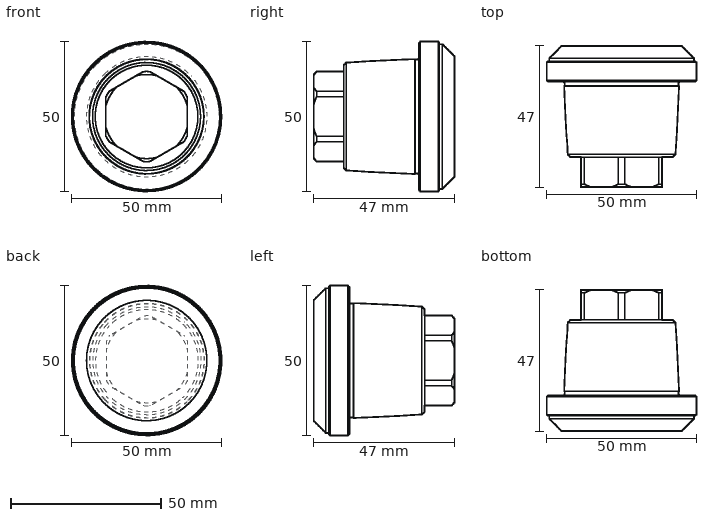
import cadquery as cq
import math

cone_end = 4.1
flange_back = 5.1
flange_front = 12.0
neck_start = 12.5
neck_end = 13.2
lead_end = 13.35
body_start = 14.0
taper_break = 29.15
body_end = 37.0
hex_length = 10.0

back_radius = 20.05
rim_radius = 24.15
flange_radius = 25.0
recess_radius = 20.35
neck_radius = 19.0
body_radius = 19.15
break_radius = 18.45
nose_radius = 18.0

flange_back_chamfer = 0.4
flange_front_chamfer = 0.6
nose_chamfer = 0.9
neck_fillet = 0.65

hex_across_flats = 27.0
hex_corner_radius = 15.0
hex_tip_chamfer = 1.0


def turned_body():
    """Revolve the cap, flange, undercut neck and tapered shank; profile is (radius, -station)."""
    fillet_radius_end = neck_radius + neck_fillet
    fillet_floor = neck_start - neck_fillet
    arc_offset = neck_fillet * math.sqrt(0.5)
    fillet_middle = (fillet_radius_end - arc_offset, -(neck_start - arc_offset))
    profile = (
        cq.Workplane("XY")
        .lineTo(back_radius, 0)
        .lineTo(rim_radius, -cone_end)
        .lineTo(rim_radius, -flange_back)
        .lineTo(flange_radius - flange_back_chamfer, -flange_back)
        .lineTo(flange_radius, -(flange_back + flange_back_chamfer))
        .lineTo(flange_radius, -(flange_front - flange_front_chamfer))
        .lineTo(flange_radius - flange_front_chamfer, -flange_front)
        .lineTo(recess_radius, -flange_front)
        .lineTo(fillet_radius_end, -fillet_floor)
        .threePointArc(fillet_middle, (neck_radius, -neck_start))
        .lineTo(neck_radius, -neck_end)
        .lineTo(body_radius, -lead_end)
        .lineTo(body_radius, -body_start)
        .lineTo(break_radius, -taper_break)
        .lineTo(nose_radius, -(body_end - nose_chamfer))
        .lineTo(nose_radius - nose_chamfer, -body_end)
        .lineTo(0, -body_end)
        .close()
    )
    return profile.revolve(360, (0, 0, 0), (0, 1, 0))


def hex_head():
    """Hexagon with flats facing +X and -X, trimmed by a round bar with a chamfered tip."""
    hex_plane = cq.Workplane("XZ", origin=(0, -body_end, 0))
    corner_diameter = hex_across_flats / math.cos(math.pi / 6)
    prism = (
        hex_plane
        .transformed(rotate=(0, 0, 30))
        .polygon(6, corner_diameter)
        .extrude(hex_length)
    )
    bar = (
        hex_plane
        .circle(hex_corner_radius)
        .extrude(hex_length)
        .faces("<Y")
        .chamfer(hex_tip_chamfer)
    )
    return prism.intersect(bar)


result = turned_body().union(hex_head())